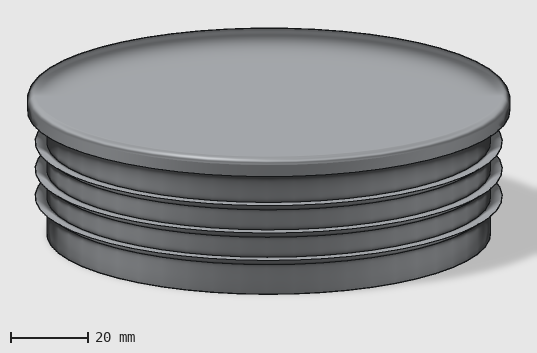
import cadquery as cq

flange_diameter = 125.0
body_diameter = 115.0
total_height = 38.0

flange_thickness = 4.9
flange_edge_radius = 1.9

fin_diameter = 121.0
fin_height = 2.0
fin_count = 3
fin_pitch = 7.4
lowest_fin_base = 8.0

body_height = total_height - flange_thickness


def make_body():
    """Plain cylindrical plug below the flange, standing on Z = 0."""
    return cq.Workplane("XY").circle(body_diameter / 2).extrude(body_height)


def make_flange():
    """Cap disc with a rounded upper rim."""
    disc = (
        cq.Workplane("XY")
        .workplane(offset=body_height)
        .circle(flange_diameter / 2)
        .extrude(flange_thickness)
    )
    return disc.faces(">Z").edges().fillet(flange_edge_radius)


def make_fin(base_height):
    """Ring of triangular section with its sharp edge at the top."""
    body_radius = body_diameter / 2
    root_radius = body_radius - fin_height
    top_height = base_height + fin_height
    return (
        cq.Workplane("XZ")
        .moveTo(root_radius, base_height)
        .lineTo(body_radius, base_height)
        .lineTo(fin_diameter / 2, top_height)
        .lineTo(root_radius, top_height)
        .close()
        .revolve(360, (0, 0, 0), (0, 1, 0))
    )


result = make_body().union(make_flange())
for fin_index in range(fin_count):
    result = result.union(make_fin(lowest_fin_base + fin_index * fin_pitch))